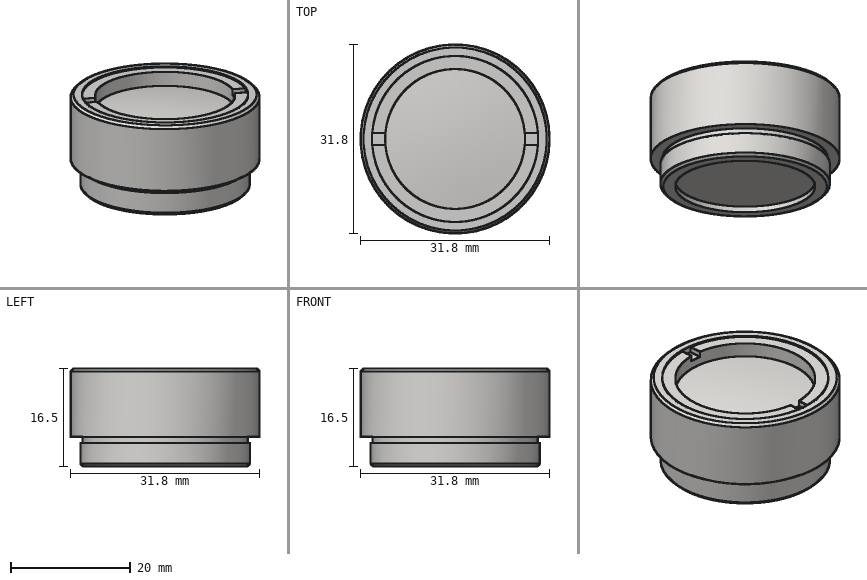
import cadquery as cq
import math

BARREL_DIAMETER = 31.76
BARREL_HEIGHT = 11.5
GROOVE_DIAMETER = 27.8
GROOVE_HEIGHT = 1.0
SPIGOT_DIAMETER = 28.5
SPIGOT_HEIGHT = 4.0
EDGE_CHAMFER = 0.5
TOTAL_HEIGHT = SPIGOT_HEIGHT + GROOVE_HEIGHT + BARREL_HEIGHT

RING_DIAMETER = 27.9
LENS_DIAMETER = 25.4
CLEAR_APERTURE = 23.5
SEAT_THICKNESS = 1.0

RING_RECESS = 0.2
RING_THICKNESS = 2.5
SLOT_WIDTH = 2.0
SLOT_DEPTH = 1.0
RING_TOP = TOTAL_HEIGHT - RING_RECESS
RING_BOTTOM = RING_TOP - RING_THICKNESS

DOME_RISE = 0.7
APERTURE_RADIUS = CLEAR_APERTURE / 2


def disc(diameter, bottom, top):
    """Cylinder on the Z axis between two heights."""
    return cq.Workplane("XY").workplane(offset=bottom).circle(diameter / 2).extrude(top - bottom)


def make_housing():
    groove_top = SPIGOT_HEIGHT + GROOVE_HEIGHT
    spigot = disc(SPIGOT_DIAMETER, 0, SPIGOT_HEIGHT).faces("<Z").chamfer(EDGE_CHAMFER)
    groove = disc(GROOVE_DIAMETER, SPIGOT_HEIGHT, groove_top)
    barrel = disc(BARREL_DIAMETER, groove_top, TOTAL_HEIGHT).faces(">Z").chamfer(EDGE_CHAMFER)
    ring_pocket = disc(RING_DIAMETER, RING_BOTTOM, TOTAL_HEIGHT)
    lens_bore = disc(LENS_DIAMETER, SEAT_THICKNESS, RING_BOTTOM)
    aperture = disc(CLEAR_APERTURE, 0, SEAT_THICKNESS)
    body = spigot.union(groove).union(barrel)
    return body.cut(ring_pocket).cut(lens_bore).cut(aperture)


def make_retaining_ring():
    ring = disc(RING_DIAMETER, RING_BOTTOM, RING_TOP).cut(disc(CLEAR_APERTURE, RING_BOTTOM, RING_TOP))
    slots = (
        cq.Workplane("XY")
        .workplane(offset=RING_TOP - SLOT_DEPTH)
        .rect(RING_DIAMETER, SLOT_WIDTH)
        .extrude(SLOT_DEPTH)
    )
    return ring.cut(slots)


def make_lens():
    dome_radius = (APERTURE_RADIUS**2 + DOME_RISE**2) / (2 * DOME_RISE)
    mid_angle = math.asin(APERTURE_RADIUS / dome_radius) / 2
    dome_centre = RING_BOTTOM + DOME_RISE - dome_radius
    arc_middle = (dome_radius * math.sin(mid_angle), dome_centre + dome_radius * math.cos(mid_angle))
    return (
        cq.Workplane("XZ")
        .moveTo(0, SEAT_THICKNESS)
        .lineTo(LENS_DIAMETER / 2, SEAT_THICKNESS)
        .lineTo(LENS_DIAMETER / 2, RING_BOTTOM)
        .lineTo(APERTURE_RADIUS, RING_BOTTOM)
        .threePointArc(arc_middle, (0, RING_BOTTOM + DOME_RISE))
        .close()
        .revolve(360)
    )


housing = make_housing()
retaining_ring = make_retaining_ring()
lens = make_lens()

result = cq.Compound.makeCompound([housing.val(), retaining_ring.val(), lens.val()])